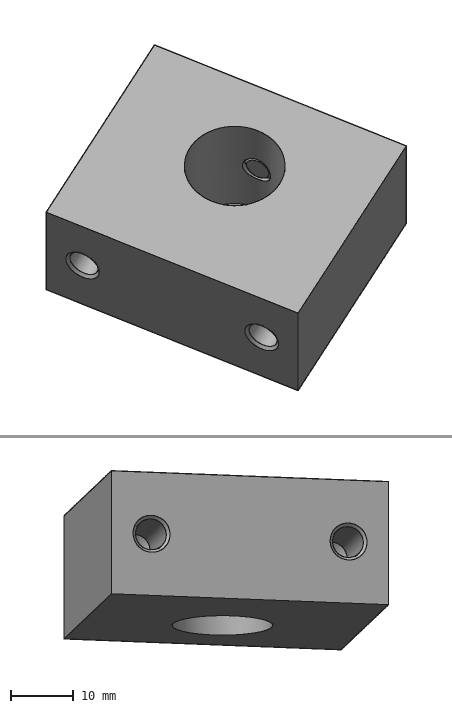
import cadquery as cq
import math

length = 45.0
width = 38.0
height = 20.0
mid_height = height / 2

bore_diameter = 16.0
bore_to_back = 16.0
bore_y = width / 2 - bore_to_back

core_diameter = 5.0
core_radius = core_diameter / 2

mount_spacing = 32.0
mount_depth = 13.5
mouth_diameter = 6.0
drill_point_angle = 118.0

screw_tip_diameter = 4.0
screw_tip_setback = 0.05


def revolved_along_y(points, origin):
    """Solid of revolution about the +Y direction through origin, from (radius, distance) points."""
    half_section = cq.Workplane("XY").polyline(points).close()
    return half_section.revolve(360, (0, 0), (0, 1)).translate(origin)


def mounting_hole(x):
    """Chamfered blind hole with a conical drill point, entering the front face."""
    mouth_radius = mouth_diameter / 2
    chamfer = mouth_radius - core_radius
    point_length = core_radius / math.tan(math.radians(drill_point_angle / 2))
    points = [
        (0, 0),
        (mouth_radius, 0),
        (core_radius, chamfer),
        (core_radius, mount_depth),
        (0, mount_depth + point_length),
    ]
    return revolved_along_y(points, (x, -width / 2, mid_height))


def screw_tip_recess():
    """Recess from the bore axis towards the back, ending on the flat, 45 degree chamfered screw tip."""
    tip_radius = screw_tip_diameter / 2
    tip_reach = bore_diameter / 2 + screw_tip_setback
    chamfer = core_radius - tip_radius
    points = [
        (0, 0),
        (core_radius, 0),
        (core_radius, tip_reach + chamfer),
        (tip_radius, tip_reach),
        (0, tip_reach),
    ]
    return revolved_along_y(points, (0, bore_y, mid_height))


block = cq.Workplane("XY").box(length, width, height, centered=(True, True, False))
bore = cq.Workplane("XY").center(0, bore_y).circle(bore_diameter / 2).extrude(height)

result = block.cut(bore).cut(screw_tip_recess())
for side in (-1, 1):
    result = result.cut(mounting_hole(side * mount_spacing / 2))